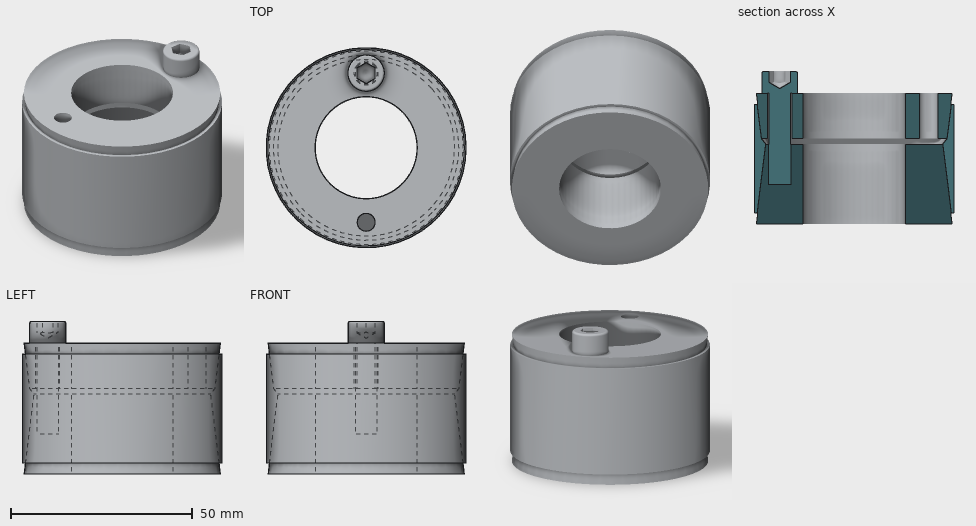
import cadquery as cq
import math


height = 36.0
sleeve_diameter = 55.0
bore_diameter = 28.0
end_recess = 3.0

hub_face_diameter = 54.0
taper_angle = 7.0
taper_slope = math.tan(math.radians(taper_angle))

upper_hub_thickness = 12.5
hub_gap = 1.5
upper_hub_bottom = height - upper_hub_thickness
lower_hub_top = upper_hub_bottom - hub_gap

hole_offset = 20.5
clearance_diameter = 6.6
jacking_hole_diameter = 4.92
screw_diameter = 6.0
screw_length = 25.0
head_diameter = 10.0
head_height = 6.0
head_edge_radius = 0.6
socket_across_flats = 5.0
socket_depth = 3.0
socket_point_angle = 120.0

screw_tip = height - screw_length
head_top = height + head_height


def cone_radius(depth):
    """Radius of the taper at a given depth below a hub's outer face."""
    return hub_face_diameter / 2 - depth * taper_slope


def revolve_about_axis(points):
    """Revolve a closed (radius, height) outline about the Z axis."""
    return cq.Workplane("XZ").polyline(points).close().revolve(360, (0, 0), (0, 1))


def cylinder(diameter, y, bottom, top):
    """Vertical cylinder at X = 0 between two heights."""
    return cq.Workplane("XY", origin=(0, y, bottom)).circle(diameter / 2).extrude(top - bottom)


def make_hub(outer_face, inner_face):
    """Tapered ring, widest at its outer face."""
    thickness = abs(outer_face - inner_face)
    bore_radius = bore_diameter / 2
    return revolve_about_axis([
        (bore_radius, outer_face),
        (cone_radius(0), outer_face),
        (cone_radius(thickness), inner_face),
        (bore_radius, inner_face),
    ])


def make_upper_hub():
    """Upper hub with the screw clearance hole and the jacking hole."""
    hub = make_hub(height, upper_hub_bottom)
    hub = hub.cut(cylinder(clearance_diameter, hole_offset, upper_hub_bottom, height))
    return hub.cut(cylinder(jacking_hole_diameter, -hole_offset, upper_hub_bottom, height))


def make_lower_hub():
    """Lower hub with a blind hole that receives the screw."""
    hub = make_hub(0, lower_hub_top)
    return hub.cut(cylinder(screw_diameter, hole_offset, screw_tip, lower_hub_top))


def make_sleeve():
    """Outer ring whose bore follows the tapers of both hubs."""
    outer_radius = sleeve_diameter / 2
    bottom = end_recess
    top = height - end_recess
    return revolve_about_axis([
        (outer_radius, bottom),
        (outer_radius, top),
        (cone_radius(end_recess), top),
        (cone_radius(upper_hub_thickness), upper_hub_bottom),
        (cone_radius(lower_hub_top), lower_hub_top),
        (cone_radius(end_recess), bottom),
    ])


def make_socket():
    """Hexagonal socket with corners toward +Y and -Y and a conical bottom."""
    corner_radius = socket_across_flats / math.sqrt(3)
    point_depth = corner_radius / math.tan(math.radians(socket_point_angle / 2))
    hexagon = (
        cq.Workplane("XY", origin=(0, hole_offset, head_top))
        .transformed(rotate=(0, 0, 90))
        .polygon(6, 2 * corner_radius)
        .extrude(-(socket_depth + point_depth))
    )
    pointed_drill = revolve_about_axis([
        (0, head_top),
        (corner_radius, head_top),
        (corner_radius, head_top - socket_depth),
        (0, head_top - socket_depth - point_depth),
    ]).translate((0, hole_offset, 0))
    return hexagon.intersect(pointed_drill)


def make_screw():
    """Socket head cap screw seated on the upper hub."""
    head = cylinder(head_diameter, hole_offset, height, head_top)
    head = head.faces(">Z").edges().fillet(head_edge_radius)
    shank = cylinder(screw_diameter, hole_offset, screw_tip, height)
    return head.union(shank).cut(make_socket())


sleeve = make_sleeve()
upper_hub = make_upper_hub()
lower_hub = make_lower_hub()
screw = make_screw()

result = cq.Compound.makeCompound([
    sleeve.val(),
    upper_hub.val(),
    lower_hub.val(),
    screw.val(),
])